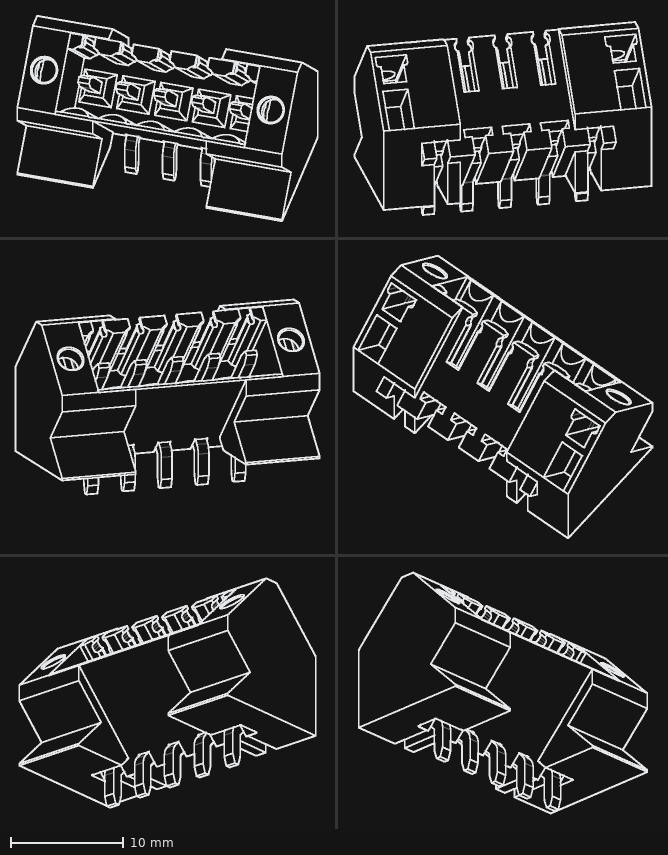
import cadquery as cq
import math

TILT = 45
ROOT2 = math.sqrt(2)
CUT = 4.9

PIN_COUNT = 5
PITCH = 3.5
PIN_X = [PITCH * (i - (PIN_COUNT - 1) / 2) for i in range(PIN_COUNT)]
PIN_THICK = 1.03
PIN_RISE = 9.05
PIN_TIP_REACH = 4.2
CONTACT_TAPER = 1.13
TIP_THICK = 0.47
LEG_REACH = -4.73
TAIL_Y = 6.74
TAIL_BOTTOM = -3.14
TAIL_TAPER = 0.85
BEND_INNER = 0.12
BEND_OUTER = BEND_INNER + PIN_THICK
HALF_THICK = PIN_THICK / 2
HALF_TIP = TIP_THICK / 2

LENGTH = 24.5
END_LENGTH = 7.0
END_INNER_X = LENGTH / 2 - END_LENGTH
END_BACK = 12.08
END_TOP = 13.08
END_FRONT_LOW = 6.3
END_FRONT_HIGH = 7.82
NOTCH_DEPTH = 3.06
TOE_HEIGHT = 0.2
TOP_FRONT_Y = END_TOP - END_FRONT_HIGH
TOP_BACK_Y = 6.71
BACK_TOP = END_TOP - (END_BACK - TOP_BACK_Y)
END_REACH = END_FRONT_HIGH / ROOT2
END_RISE = (TOP_BACK_Y + END_TOP) / ROOT2

CORE_LENGTH = 17.52
CORE_RISE_LOW = 5.51
CORE_RISE_HIGH = 12.9
CORE_REACH_BACK = -5.7
CORE_REACH_FRONT = 5.5
CAVITY_RISE_LOW = 5.8
CAVITY_RISE_HIGH = 11.52
CAVITY_FLOOR = -2.5

PEDESTAL_HEIGHT = 1.25
PEDESTAL_BASE = 3.0
PEDESTAL_TOP = 1.76

RIB_RADIUS = 1.57
RIB_HEIGHT = 0.69
RIB_RAMP_ANGLE = 30
RIB_RAMP_DROP = 0.65
SCALLOP_RADIUS = 1.57
SCALLOP_HALF_WIDTH = 1.2

GROOVE_TOP = 12.4
THROAT_WIDTH = 0.83
GROOVE_WIDTH = 1.35
GROOVE_FOOT = 11.83
WINDOW_WIDTH = 1.37
WINDOW_END = 0.35
MOUTH_WIDTH = 1.67
MOUTH_BACK = 4.26
MOUTH_FRONT = 5.2
MOUTH_CORNER = 0.35
EXIT_WIDTH = 1.15

SLOT_WIDTH = 1.22
SLOT_REACH = -4.15
RELIEF_REACH = -3.23
RELIEF_DEPTH = 2.45
ARM_WIDTH = 2.52
ARM_REACH = -3.97
CLEARANCE_RISE_LOW = 2.45

SCREW_X = 10.49
SCREW_RISE = 9.24
BORE_RADIUS = 1.1
BORE_CHAMFER = 0.12
FLANGE_WIDTH = 2.85
FLANGE_REACH = 3.97
FLANGE_CORNER = 0.25
NUT_WIDTH = 2.08
NUT_REACH_FRONT = 3.05
NUT_REACH_BACK = 1.42
NUT_RISE_LOW = 6.12
BACK_POCKET_X = 10.58
BACK_POCKET_WIDTH = 2.28
BACK_POCKET_FRONT = 0.69
BACK_POCKET_BACK = -3.09
BACK_POCKET_LOW = 9.8


def tilted(body):
    """Turn a body built with rise along Y and reach along Z into its slanted place."""
    return body.rotate((0, 0, 0), (1, 0, 0), TILT)


def slanted_point(rise, reach):
    """Y and Z of a point given by its rise and reach."""
    return ((rise - reach) / ROOT2, (rise + reach) / ROOT2)


def block(centre_x, width, rise_low, rise_high, reach_low, reach_high):
    """Box that is centred on centre_x and bounded in rise and reach."""
    size = (width, rise_high - rise_low, reach_high - reach_low)
    return cq.Workplane().box(*size, centered=(True, False, False)).translate(
        (centre_x, rise_low, reach_low))


def rod(centre_x, rise, radius, reach_low, reach_high):
    """Cylinder along the reach direction."""
    plane = cq.Workplane(origin=(centre_x, rise, reach_low))
    return plane.circle(radius).extrude(reach_high - reach_low)


def end_block(inner_x):
    """House-shaped end block with a V notch in its front."""
    notch_z = END_FRONT_LOW - NOTCH_DEPTH
    profile = [
        (0, 0), (0, TOE_HEIGHT), (NOTCH_DEPTH, notch_z), (0, END_FRONT_LOW),
        (0, END_FRONT_HIGH), (TOP_FRONT_Y, END_TOP), (TOP_BACK_Y, END_TOP),
        (END_BACK, BACK_TOP), (END_BACK, 0),
    ]
    return cq.Workplane("YZ", origin=(inner_x, 0, 0)).polyline(profile).close().extrude(END_LENGTH)


def cavity():
    """Mating cavity, and the set-back of its rim between the end blocks."""
    recess = block(0, CORE_LENGTH, CAVITY_RISE_LOW, CAVITY_RISE_HIGH, CAVITY_FLOOR, END_REACH)
    return recess.union(
        block(0, CORE_LENGTH, CORE_RISE_LOW, CORE_RISE_HIGH, CORE_REACH_FRONT, END_REACH))


def pedestal(x):
    """Truncated pyramid from which a contact leaves the cavity floor."""
    base = cq.Workplane(origin=(x, PIN_RISE, CAVITY_FLOOR)).rect(PEDESTAL_BASE, PEDESTAL_BASE)
    top = base.workplane(offset=PEDESTAL_HEIGHT).rect(PEDESTAL_TOP, PEDESTAL_TOP)
    return top.loft(combine=True)


def rib(x):
    """Round rib on the lower cavity wall, with a flat ramp at its front end."""
    crest = CAVITY_RISE_LOW + RIB_HEIGHT
    ramp_length = RIB_RAMP_DROP / math.tan(math.radians(RIB_RAMP_ANGLE))
    round_bar = rod(x, crest - RIB_RADIUS, RIB_RADIUS, CAVITY_FLOOR, CORE_REACH_FRONT)
    profile = [
        (CORE_RISE_LOW, CAVITY_FLOOR), (crest, CAVITY_FLOOR),
        (crest, CORE_REACH_FRONT - ramp_length),
        (crest - RIB_RAMP_DROP, CORE_REACH_FRONT), (CORE_RISE_LOW, CORE_REACH_FRONT),
    ]
    ramp = cq.Workplane("YZ").polyline(profile).close().extrude(RIB_RADIUS, both=True)
    return round_bar.intersect(ramp.translate((x, 0, 0)))


def scallop(x):
    """Round channel along the upper cavity wall."""
    centre = CAVITY_RISE_HIGH - math.sqrt(SCALLOP_RADIUS**2 - SCALLOP_HALF_WIDTH**2)
    bar = rod(x, centre, SCALLOP_RADIUS, CAVITY_FLOOR, CORE_REACH_FRONT)
    return bar.intersect(
        block(x, PITCH, PIN_RISE, CORE_RISE_HIGH, CAVITY_FLOOR, CORE_REACH_FRONT))


def tapered_channel(x, low, low_width, high, high_width, reach_back, reach_front):
    """Channel along the reach, with slanted flanks."""
    profile = [
        (x - low_width / 2, low), (x + low_width / 2, low),
        (x + high_width / 2, high), (x - high_width / 2, high),
    ]
    plane = cq.Workplane(origin=(0, 0, reach_back))
    return plane.polyline(profile).close().extrude(reach_front - reach_back)


def mouth(x):
    """Rounded widening of the window near the rim, and the slot that joins it to the rim."""
    widening = block(x, MOUTH_WIDTH, CAVITY_RISE_HIGH, CORE_RISE_HIGH, MOUTH_BACK, MOUTH_FRONT)
    widening = widening.edges("|Y").fillet(MOUTH_CORNER)
    return widening.union(
        block(x, EXIT_WIDTH, CAVITY_RISE_HIGH, CORE_RISE_HIGH, MOUTH_BACK, CORE_REACH_FRONT))


def upper_wall_cuts(x):
    """All openings in the upper wall above one contact."""
    groove = tapered_channel(x, GROOVE_FOOT, GROOVE_WIDTH, GROOVE_TOP, THROAT_WIDTH,
                             CAVITY_FLOOR, MOUTH_FRONT)
    window = tapered_channel(x, GROOVE_TOP, THROAT_WIDTH, CORE_RISE_HIGH, WINDOW_WIDTH,
                             WINDOW_END, MOUTH_BACK)
    return scallop(x).union(groove).union(window).union(mouth(x))


def leg_slot(x):
    """Slot through the back of the core, with a T-shaped relief at its upper end."""
    back = CORE_REACH_BACK - CUT
    relief_low = CORE_RISE_HIGH - RELIEF_DEPTH
    slot = block(x, SLOT_WIDTH, CORE_RISE_LOW, CORE_RISE_HIGH, back, SLOT_REACH)
    relief = block(x, SLOT_WIDTH, relief_low, CORE_RISE_HIGH, SLOT_REACH, RELIEF_REACH)
    arms = block(x, ARM_WIDTH, relief_low, CORE_RISE_HIGH, ARM_REACH, RELIEF_REACH)
    return slot.union(relief).union(arms)


def tail_clearance():
    """Space under the core that frees the outer legs from the end blocks."""
    return block(0, CORE_LENGTH, CLEARANCE_RISE_LOW, CORE_RISE_LOW, CORE_REACH_BACK, SLOT_REACH)


def screw_cuts(side):
    """Screw bore, flanged nut pocket and back pocket of one end block."""
    x = side * SCREW_X
    top = END_RISE + CUT
    bore = rod(x, SCREW_RISE, BORE_RADIUS, NUT_REACH_BACK, END_REACH)
    countersink = cq.Workplane(origin=(x, SCREW_RISE, END_REACH)).circle(
        BORE_RADIUS + BORE_CHAMFER).extrude(-BORE_CHAMFER, taper=45)
    flange_low = SCREW_RISE - FLANGE_WIDTH / 2
    flange = block(x, FLANGE_WIDTH, flange_low, top, NUT_REACH_FRONT, FLANGE_REACH)
    flange = flange.edges("|Y and <Z").fillet(FLANGE_CORNER)
    nut = block(x, NUT_WIDTH, NUT_RISE_LOW, top, NUT_REACH_BACK, NUT_REACH_FRONT)
    back_pocket = block(side * BACK_POCKET_X, BACK_POCKET_WIDTH, BACK_POCKET_LOW, top,
                        BACK_POCKET_BACK, BACK_POCKET_FRONT)
    return bore.union(countersink).union(flange).union(nut).union(back_pocket)


def make_pin(x):
    """Bent square pin: contact along the reach, slanted leg, then a vertical tail."""
    taper_reach = PIN_TIP_REACH - CONTACT_TAPER
    leg_front = LEG_REACH + HALF_THICK
    leg_back = LEG_REACH - HALF_THICK
    tail_front = TAIL_Y - HALF_THICK
    tail_back = TAIL_Y + HALF_THICK
    front_bend = (tail_front, tail_front + leg_front * ROOT2)
    back_bend = (tail_back, tail_back + leg_back * ROOT2)
    taper_z = TAIL_BOTTOM + TAIL_TAPER
    outline = [
        slanted_point(PIN_RISE + HALF_TIP, PIN_TIP_REACH),
        slanted_point(PIN_RISE + HALF_THICK, taper_reach),
        slanted_point(PIN_RISE + HALF_THICK, leg_back),
        back_bend,
        (tail_back, taper_z),
        (TAIL_Y + HALF_TIP, TAIL_BOTTOM),
        (TAIL_Y - HALF_TIP, TAIL_BOTTOM),
        (tail_front, taper_z),
        front_bend,
        slanted_point(PIN_RISE - HALF_THICK, leg_front),
        slanted_point(PIN_RISE - HALF_THICK, taper_reach),
        slanted_point(PIN_RISE - HALF_TIP, PIN_TIP_REACH),
    ]
    pin = cq.Workplane("YZ").polyline(outline).close().extrude(HALF_THICK, both=True)
    pin = pin.edges(cq.NearestToPointSelector((0, *front_bend))).fillet(BEND_OUTER)
    pin = pin.edges(cq.NearestToPointSelector((0, *back_bend))).fillet(BEND_INNER)
    return pin.translate((x, 0, 0))


def make_housing(pins):
    """Tilted core between two end blocks, with a matching hole for every pin."""
    core = block(0, CORE_LENGTH, CORE_RISE_LOW, CORE_RISE_HIGH, CORE_REACH_BACK, CORE_REACH_FRONT)
    housing = tilted(core).union(end_block(END_INNER_X)).union(end_block(-LENGTH / 2))
    housing = housing.cut(tilted(cavity())).cut(tilted(tail_clearance()))
    for x in PIN_X:
        housing = housing.cut(tilted(upper_wall_cuts(x))).cut(tilted(leg_slot(x)))
        housing = housing.union(tilted(pedestal(x))).union(tilted(rib(x)))
    for side in (-1, 1):
        housing = housing.cut(tilted(screw_cuts(side)))
    for pin in pins:
        housing = housing.cut(pin)
    return housing


pins = [make_pin(x) for x in PIN_X]
housing = make_housing(pins)
result = cq.Compound.makeCompound([housing.val(), *[pin.val() for pin in pins]])